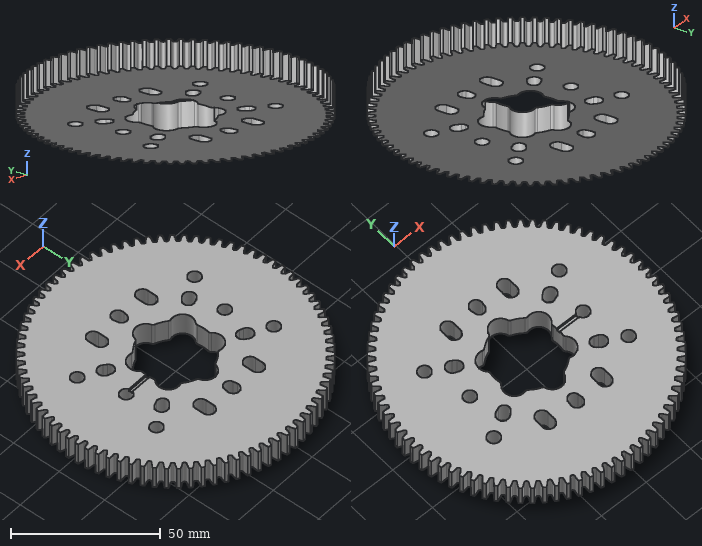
import cadquery as cq
import math

tooth_count = 82
tip_radius = 53.3
module = 2 * tip_radius / (tooth_count + 2)
pitch_radius = module * tooth_count / 2
dedendum = 1.25 * module
root_radius = pitch_radius - dedendum
pressure_angle = math.radians(14.5)
base_radius = pitch_radius * math.cos(pressure_angle)
root_depth = 0.6
flank_points = 5
thickness = 9.5

lobe_count = 6
bore_radius = 14.3
lobe_circle_radius = 13.0
lobe_radius = 4.4
bore_corner_round = 1.3

hole_diameter = 5.0
bolt_circle_radius = 25.4
outer_circle_radius = 34.9
bolt_hole_angles = (0, 180)
outer_hole_angles = (30, 150, 210, 330)

taper_inner_circle_radius = 23.8
taper_inner_diameter = 4.5
tapered_slot_angles = (30, 90, 150, 210, 270, 330)

slot_x = bolt_circle_radius / 2
slot_y = 23.7
slot_width = 5.1
slot_length = 8.4

groove_width = 1.6
groove_depth = 1.0


def polar(radius, angle):
    return (radius * math.cos(angle), radius * math.sin(angle))


def involute(angle):
    return math.tan(angle) - angle


def half_tooth_angle(radius):
    """Half of the angle that one tooth spans at the given radius."""
    radius_angle = math.acos(base_radius / radius)
    return math.pi / (2 * tooth_count) + involute(pressure_angle) - involute(radius_angle)


def gear_blank():
    """Spur gear with involute flanks, rounded roots and one tooth centred on +Y."""
    pitch_angle = 2 * math.pi / tooth_count
    flank_start = root_radius + root_depth
    flank_height = tip_radius - flank_start
    radii = [flank_start + flank_height * i / (flank_points - 1) for i in range(flank_points)]

    def flank(centre, side):
        return [polar(r, centre + side * half_tooth_angle(r)) for r in radii]

    first_centre = math.pi / 2
    outline = cq.Workplane("XY").moveTo(*flank(first_centre, -1)[0])
    for tooth in range(tooth_count):
        centre = first_centre + tooth * pitch_angle
        rising = flank(centre, -1)
        falling = flank(centre, 1)[::-1]
        next_root = flank(centre + pitch_angle, -1)[0]
        outline = outline.spline(rising[1:], includeCurrent=True)
        outline = outline.threePointArc(polar(tip_radius, centre), falling[0])
        outline = outline.spline(falling[1:], includeCurrent=True)
        outline = outline.threePointArc(polar(root_radius, centre + pitch_angle / 2), next_root)
    return outline.close().extrude(thickness)


def bore():
    """Round core joined to six lobes, with the corners between them rounded."""
    core = cq.Workplane("XY").circle(bore_radius).extrude(thickness)
    lobes = (
        cq.Workplane("XY")
        .polarArray(lobe_circle_radius, 90, 360, lobe_count)
        .circle(lobe_radius)
        .extrude(thickness)
    )
    return core.union(lobes).clean().edges("|Z").fillet(bore_corner_round)


def round_holes(diameter, radius, angles):
    points = [polar(radius, math.radians(angle)) for angle in angles]
    return cq.Workplane("XY").pushPoints(points).circle(diameter / 2).extrude(thickness)


def tapered_slots():
    """Slots whose straight sides are tangent to a large outer and a small inner end circle."""
    outer_radius = hole_diameter / 2
    inner_radius = taper_inner_diameter / 2
    end_distance = bolt_circle_radius - taper_inner_circle_radius
    tangent_angle = math.acos((inner_radius - outer_radius) / end_distance)
    outer_x, outer_y = polar(outer_radius, tangent_angle)
    inner_x, inner_y = polar(inner_radius, tangent_angle)
    slot = (
        cq.Workplane("XY")
        .moveTo(bolt_circle_radius + outer_x, -outer_y)
        .threePointArc((bolt_circle_radius + outer_radius, 0), (bolt_circle_radius + outer_x, outer_y))
        .lineTo(taper_inner_circle_radius + inner_x, inner_y)
        .threePointArc(
            (taper_inner_circle_radius - inner_radius, 0),
            (taper_inner_circle_radius + inner_x, -inner_y),
        )
        .close()
        .extrude(thickness)
    )
    slots = cq.Workplane("XY")
    for angle in tapered_slot_angles:
        slots = slots.add(slot.rotate((0, 0, 0), (0, 0, 1), angle))
    return slots.combine()


def straight_slots():
    return (
        cq.Workplane("XY")
        .rect(2 * slot_x, 2 * slot_y, forConstruction=True)
        .vertices()
        .slot2D(slot_length, slot_width, 90)
        .extrude(thickness)
    )


def groove():
    return (
        cq.Workplane("XY", origin=(0, 0, thickness - groove_depth))
        .center(bolt_circle_radius / 2, 0)
        .rect(bolt_circle_radius, groove_width)
        .extrude(groove_depth)
    )


result = (
    gear_blank()
    .cut(bore())
    .cut(round_holes(hole_diameter, bolt_circle_radius, bolt_hole_angles))
    .cut(round_holes(hole_diameter, outer_circle_radius, outer_hole_angles))
    .cut(tapered_slots())
    .cut(straight_slots())
    .cut(groove())
)